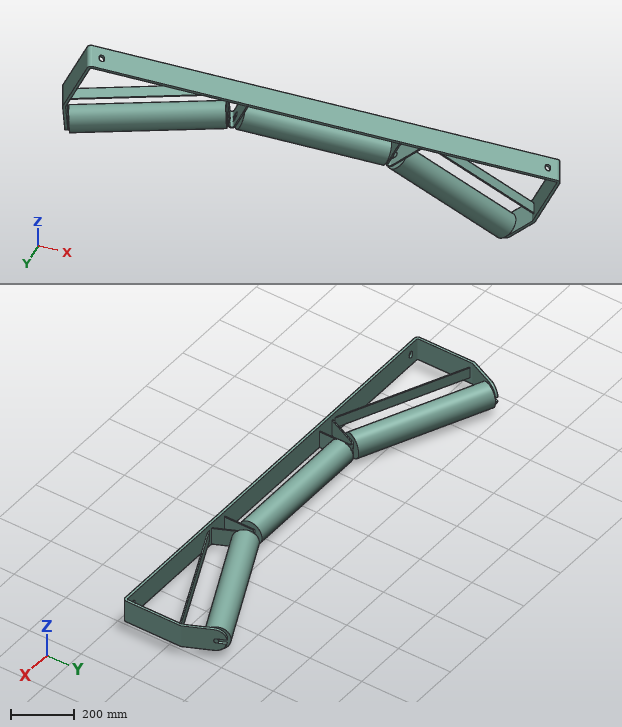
import cadquery as cq
import math

frame_length = 1600.0
band_height = 85.0
band_thickness = 10.0
corner_radius = 13.0
fold_y = 224.0
end_plate_length = 149.0
mount_slot_inset = 45.0
mount_slot_width = 18.0
mount_slot_length = 24.0

roller_length = 496.0
roller_diameter = 90.0
shaft_diameter = 16.0
shaft_clearance = 0.3
centre_axis_y = 100.0
centre_axis_z = 34.0
trough_angle = 25.0
forward_tilt = 0.7
side_axis_on_plate = 114.0

bracket_height = 64.0
bracket_thickness = 5.0
bracket_fold_radius = 11.0
bracket_inner_x = 256.0
bracket_apex_y = 170.0

brace_thickness = 5.0
brace_height = 40.0
brace_foot_x = 340.0
brace_end_y = 213.0

half_length = frame_length / 2
mid_z = band_height / 2
inner_side_x = half_length - band_thickness
trough_cos = math.cos(math.radians(trough_angle))
trough_sin = math.sin(math.radians(trough_angle))
trough_tan = math.tan(math.radians(trough_angle))
shaft_slot_width = shaft_diameter + 2 * shaft_clearance

inward = cq.Vector(trough_cos, -trough_sin, 0)
up_plate = cq.Vector(trough_sin, trough_cos, 0)
fold_corner = cq.Vector(-half_length, fold_y, 0)
bracket_apex = cq.Vector(-bracket_inner_x, bracket_apex_y, 0)

leg_distance = (bracket_apex - fold_corner).dot(inward)
side_roller_distance = (band_thickness + leg_distance) / 2
tilt_rise = math.tan(math.radians(forward_tilt))
side_axis_outer = fold_corner + up_plate * side_axis_on_plate


def side_axis_point(distance):
    """Point on the left roller's axis at a plan distance inwards from the end plate's outer face."""
    height = centre_axis_z + (leg_distance - distance) * tilt_rise
    return side_axis_outer + inward * distance + cq.Vector(0, 0, height)


def mirrored(body):
    return body.mirror("YZ")


def shaft_slot(seat, along, through, depth):
    """Open-ended slot: round at the seat, running up 'along' and cut 'depth' deep along 'through'."""
    reach = roller_diameter
    plane = cq.Plane(origin=seat, xDir=along, normal=through)
    seat_hole = cq.Workplane(plane).circle(shaft_slot_width / 2).extrude(depth)
    mouth = cq.Workplane(plane).center(reach / 2, 0).rect(reach, shaft_slot_width).extrude(depth)
    return seat_hole.union(mouth)


def make_end_plate():
    """Left end plate, full-round at the tip, with a slot for the roller shaft."""
    plane = cq.Plane(origin=fold_corner + cq.Vector(0, 0, mid_z), xDir=up_plate, normal=inward)
    straight = end_plate_length - band_height / 2
    plate = (
        cq.Workplane(plane)
        .moveTo(0, -band_height / 2)
        .lineTo(straight, -band_height / 2)
        .threePointArc((end_plate_length, 0), (straight, band_height / 2))
        .lineTo(0, band_height / 2)
        .close()
        .extrude(band_thickness)
    )
    seat = side_axis_point(0)
    return plate.cut(shaft_slot(seat, up_plate, inward, band_thickness))


def round_folds(frame, x, y, radius):
    """Fillet the two upright fold edges at plan positions (-x, y) and (x, y)."""
    margin = 2.0
    for fold_x in (-x, x):
        fold_edge = cq.selectors.BoxSelector(
            (fold_x - margin, y - margin, 0), (fold_x + margin, y + margin, band_height)
        )
        frame = frame.edges("|Z").edges(fold_edge).fillet(radius)
    return frame


def make_frame():
    """Channel of folded band with mounting slots near its ends and a leaning plate on each side."""
    channel = cq.Workplane("XY").box(
        frame_length, fold_y, band_height, centered=(True, False, False)
    )
    channel = channel.edges("|Z and <Y").fillet(corner_radius)
    cavity = (
        cq.Workplane("XY")
        .box(2 * inner_side_x, fold_y, band_height, centered=(True, False, False))
        .edges("|Z and <Y")
        .fillet(corner_radius - band_thickness)
        .translate((0, band_thickness, 0))
    )
    mount_x = half_length - mount_slot_inset
    mount_slots = (
        cq.Workplane("XZ", origin=(0, band_thickness, mid_z))
        .pushPoints([(-mount_x, 0), (mount_x, 0)])
        .slot2D(mount_slot_length, mount_slot_width, 90)
        .extrude(band_thickness)
    )
    end_plate = make_end_plate()
    frame = channel.cut(cavity).cut(mount_slots).union(end_plate).union(mirrored(end_plate))
    inner_fold_y = fold_y - band_thickness * math.tan(math.radians(trough_angle / 2))
    frame = round_folds(frame, inner_side_x, inner_fold_y, corner_radius - band_thickness)
    return round_folds(frame, half_length, fold_y, corner_radius)


def bracket_wedge(apex, fold_radius):
    """Triangular prism on the back band, upright on one side, leaning on the other, rounded on top."""
    rise = apex.y - band_thickness
    return (
        cq.Workplane("XY")
        .moveTo(apex.x, apex.y)
        .lineTo(apex.x, band_thickness)
        .lineTo(apex.x - rise * trough_tan, band_thickness)
        .close()
        .extrude(bracket_height)
        .edges("|Z and >Y")
        .fillet(fold_radius)
    )


def make_bracket():
    """Left inner bracket, slotted for the centre roller and for the side roller."""
    half_angle = math.radians(trough_angle / 2)
    inner_apex = bracket_apex - cq.Vector(
        bracket_thickness, bracket_thickness / math.tan(half_angle), 0
    )
    strip = bracket_wedge(bracket_apex, bracket_fold_radius).cut(
        bracket_wedge(inner_apex, bracket_fold_radius - bracket_thickness)
    )
    centre_seat = cq.Vector(-bracket_inner_x, centre_axis_y, centre_axis_z)
    centre_slot = shaft_slot(centre_seat, cq.Vector(0, 1, 0), cq.Vector(-1, 0, 0), bracket_thickness)
    side_slot = shaft_slot(side_axis_point(leg_distance), up_plate, inward, bracket_thickness)
    return strip.cut(centre_slot).cut(side_slot)


def make_brace():
    """Left brace, its ends cut to lie on the channel's inner faces."""
    run = inner_side_x - brace_foot_x
    rise = brace_end_y - band_thickness
    length = math.hypot(run, rise)
    return (
        cq.Workplane("XY", origin=(0, 0, mid_z - brace_height / 2))
        .moveTo(-brace_foot_x, band_thickness)
        .lineTo(-inner_side_x, brace_end_y)
        .lineTo(-inner_side_x, brace_end_y - brace_thickness * length / run)
        .lineTo(-brace_foot_x - brace_thickness * length / rise, band_thickness)
        .close()
        .extrude(brace_height)
    )


def make_roller(left_stub, right_stub):
    """Roller along X, centred on the origin, with its shaft stubs."""
    left_end = -roller_length / 2
    drum = cq.Workplane("YZ", origin=(left_end, 0, 0)).circle(roller_diameter / 2)
    drum = drum.extrude(roller_length)
    shaft = cq.Workplane("YZ", origin=(left_end - left_stub, 0, 0)).circle(shaft_diameter / 2)
    shaft = shaft.extrude(left_stub + roller_length + right_stub)
    return drum.union(shaft)


def make_centre_roller():
    """Centre roller, its shaft ends flush with the far faces of the brackets' upright legs."""
    stub = bracket_inner_x + bracket_thickness - roller_length / 2
    return make_roller(stub, stub).translate((0, centre_axis_y, centre_axis_z))


def make_side_roller():
    """Left roller, its shaft ends flush with the far faces of the end plate and the bracket leg."""
    cos_tilt = math.cos(math.radians(forward_tilt))
    outer_stub = side_roller_distance / cos_tilt - roller_length / 2
    inner_reach = leg_distance + bracket_thickness - side_roller_distance
    inner_stub = inner_reach / cos_tilt - roller_length / 2
    return (
        make_roller(outer_stub, inner_stub)
        .rotate((0, 0, 0), (0, 1, 0), forward_tilt)
        .rotate((0, 0, 0), (0, 0, 1), -trough_angle)
        .translate(side_axis_point(side_roller_distance))
    )


def pair(left_body):
    """The left-hand body and its mirror image on the right, as separate solids."""
    return [left_body.val(), mirrored(left_body).val()]


frame = make_frame()
brackets = pair(make_bracket())
braces = pair(make_brace())
centre_roller = make_centre_roller()
side_rollers = pair(make_side_roller())

result = cq.Compound.makeCompound(
    [frame.val(), *brackets, *braces, centre_roller.val(), *side_rollers]
)